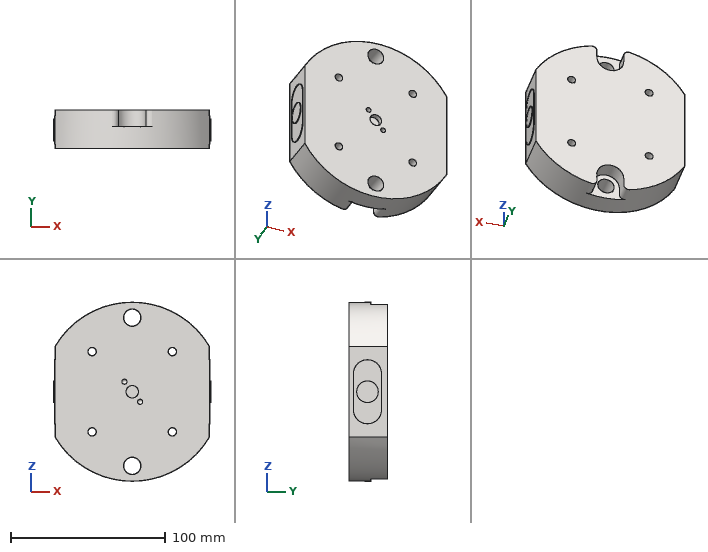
import cadquery as cq
import math

THICKNESS = 25.0
DISC_RADIUS = 58.0
FLAT_HALF_WIDTH = 50.0

RIM_HOLE_DIAMETER = 11.0
RIM_HOLE_OFFSET = 48.0
POCKET_RADIUS = 9.0
POCKET_DEPTH = 10.8
MOUTH_FILLET = 3.2
MOUTH_HALF_WIDTH = 12.95
MOUTH_HEIGHT = math.sqrt(DISC_RADIUS**2 - MOUTH_HALF_WIDTH**2)

SQUARE_HOLE_DIAMETER = 5.2
SQUARE_HOLE_SPACING = 52.0

CENTRE_HOLE_DIAMETER = 8.0
CENTRE_HOLE_DEPTH = 4.0
PIN_HOLE_DIAMETER = 3.3
PIN_HOLE_DEPTH = 8.0
PIN_HOLE_X = 5.1
PIN_HOLE_Z = 6.5
DRILL_POINT_ANGLE = 118.0

PAD_CENTRE_Y = 12.0
PAD_WIDTH = 18.2
PAD_LENGTH = 41.5
PAD_HEIGHT = 0.5
BUTTON_DIAMETER = 14.0
OVERALL_WIDTH = 102.11
BUTTON_HEIGHT = OVERALL_WIDTH / 2 - FLAT_HALF_WIDTH


def front_plane(y):
    """Sketch plane facing +Y at the given y, with local x = X and local y = -Z."""
    return cq.Plane(origin=(0, y, 0), xDir=(1, 0, 0), normal=(0, 1, 0))


def make_disc():
    """Round disc cut by two parallel flats."""
    disc = cq.Workplane(front_plane(0)).circle(DISC_RADIUS).extrude(THICKNESS)
    flats = cq.Workplane(front_plane(0)).rect(2 * FLAT_HALF_WIDTH, 2 * DISC_RADIUS).extrude(THICKNESS)
    return disc.intersect(flats)


def through_holes(points, diameter):
    """Cylinders spanning the whole thickness at the given local points."""
    return cq.Workplane(front_plane(0)).pushPoints(points).circle(diameter / 2).extrude(THICKNESS)


def rim_pocket(side):
    """Counterbore around a rim hole, with a rounded mouth through the rim; side is +1 or -1."""
    fillet_start = MOUTH_HEIGHT - MOUTH_FILLET
    fillet_end_x = POCKET_RADIUS + MOUTH_FILLET
    fillet_mid_x = fillet_end_x - MOUTH_FILLET * math.cos(math.pi / 4)
    fillet_mid_z = fillet_start + MOUTH_FILLET * math.sin(math.pi / 4)
    outline = (
        cq.Workplane(front_plane(THICKNESS - POCKET_DEPTH))
        .moveTo(-POCKET_RADIUS, side * RIM_HOLE_OFFSET)
        .threePointArc((0, side * (RIM_HOLE_OFFSET - POCKET_RADIUS)), (POCKET_RADIUS, side * RIM_HOLE_OFFSET))
        .lineTo(POCKET_RADIUS, side * fillet_start)
        .threePointArc((fillet_mid_x, side * fillet_mid_z), (fillet_end_x, side * MOUTH_HEIGHT))
        .lineTo(MOUTH_HALF_WIDTH, side * MOUTH_HEIGHT)
        .lineTo(MOUTH_HALF_WIDTH, side * DISC_RADIUS)
        .lineTo(-MOUTH_HALF_WIDTH, side * DISC_RADIUS)
        .lineTo(-MOUTH_HALF_WIDTH, side * MOUTH_HEIGHT)
        .lineTo(-fillet_end_x, side * MOUTH_HEIGHT)
        .threePointArc((-fillet_mid_x, side * fillet_mid_z), (-POCKET_RADIUS, side * fillet_start))
        .close()
    )
    return outline.extrude(POCKET_DEPTH)


def pin_hole(x, z):
    """Drilled blind hole with a conical end."""
    radius = PIN_HOLE_DIAMETER / 2
    point_depth = radius / math.tan(math.radians(DRILL_POINT_ANGLE / 2))
    profile = (
        cq.Workplane("XY")
        .lineTo(radius, 0)
        .lineTo(radius, PIN_HOLE_DEPTH)
        .lineTo(0, PIN_HOLE_DEPTH + point_depth)
        .close()
    )
    return profile.revolve(360, (0, 0, 0), (0, 1, 0)).translate((x, 0, z))


def side_pad(side):
    """Long rounded pad with a round button on one flat; side is +1 or -1."""
    plane = cq.Plane(
        origin=(side * FLAT_HALF_WIDTH, PAD_CENTRE_Y, 0), xDir=(0, 0, 1), normal=(side, 0, 0)
    )
    pad = cq.Workplane(plane).slot2D(PAD_LENGTH, PAD_WIDTH).extrude(PAD_HEIGHT)
    button = cq.Workplane(plane).circle(BUTTON_DIAMETER / 2).extrude(BUTTON_HEIGHT)
    return pad.union(button)


half_spacing = SQUARE_HOLE_SPACING / 2
square_points = [(sx * half_spacing, sz * half_spacing) for sx in (-1, 1) for sz in (-1, 1)]
rim_points = [(0, RIM_HOLE_OFFSET), (0, -RIM_HOLE_OFFSET)]

result = make_disc()
result = result.cut(through_holes(square_points, SQUARE_HOLE_DIAMETER))
result = result.cut(through_holes(rim_points, RIM_HOLE_DIAMETER))
result = result.cut(
    cq.Workplane(front_plane(0)).circle(CENTRE_HOLE_DIAMETER / 2).extrude(CENTRE_HOLE_DEPTH)
)
for side in (-1, 1):
    result = result.cut(rim_pocket(side))
    result = result.cut(pin_hole(side * PIN_HOLE_X, -side * PIN_HOLE_Z))
    result = result.union(side_pad(side))